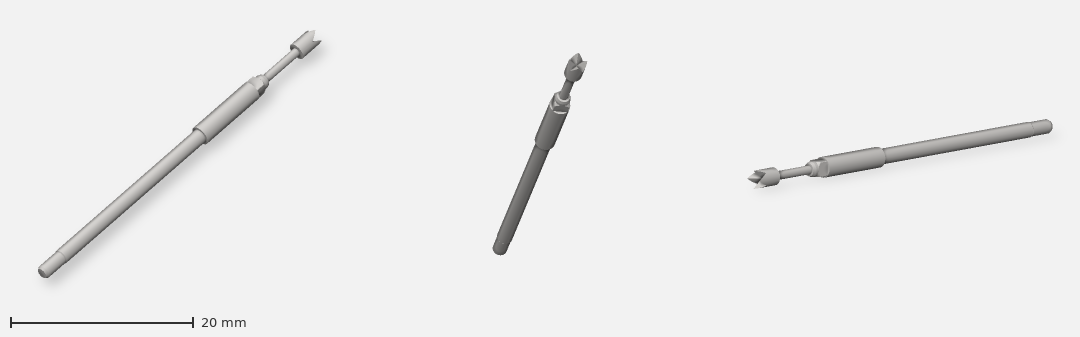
import cadquery as cq
import math

total_length = 44.3

tail_length = 2.95
body_start = 25.6
body_end = 34.0
collar_start = 35.3
collar_end = 36.0
crown_start = 41.25

tail_diameter = 1.6
tube_diameter = 1.73
body_diameter = 2.3
collar_diameter = 1.73
plunger_diameter = 0.97
crown_diameter = 2.0

tail_chamfer_length = 0.3
tail_chamfer_depth = 0.18
tube_chamfer = 0.15
collar_chamfer_length = 0.35
collar_chamfer_depth = 0.15
square_lead_in = 0.25

square_across_flats = 1.7

groove_angle = 60.0
first_groove_direction = 45.0
groove_directions = (first_groove_direction, first_groove_direction + 90)


def rod(diameter, start, end):
    """Round bar along Y between two stations."""
    plane = cq.Workplane("XZ", origin=(0, start, 0))
    return plane.circle(diameter / 2).extrude(start - end)


def cone(diameter, start, length, depth):
    """Frustum along Y from `start` that loses `depth` of radius over `length` (negative: towards -Y)."""
    plane = cq.Workplane("XZ", origin=(0, start, 0))
    wide_end = plane.circle(diameter / 2)
    return wide_end.workplane(offset=-length).circle(diameter / 2 - depth).loft(ruled=True)


def make_tail():
    """Thin tail bar that narrows in a cone to its flat end."""
    bar = rod(tail_diameter, tail_chamfer_length, tail_length)
    return bar.union(cone(tail_diameter, tail_chamfer_length, -tail_chamfer_length, tail_chamfer_depth))


def make_collar():
    """Collar that narrows in a cone towards the plunger."""
    cone_start = collar_end - collar_chamfer_length
    bar = rod(collar_diameter, collar_start, cone_start)
    return bar.union(cone(collar_diameter, cone_start, collar_chamfer_length, collar_chamfer_depth))


def make_square_neck():
    """Body-sized bar with a coned +Y edge and four milled flats."""
    blank = rod(body_diameter, body_end, collar_start).faces(">Y").chamfer(square_lead_in)
    square = (
        cq.Workplane("XZ", origin=(0, body_end, 0))
        .rect(square_across_flats, square_across_flats)
        .extrude(body_end - collar_start)
    )
    return blank.intersect(square)


def make_crown():
    """Round head with two crossing V grooves that leave four pointed teeth."""
    crown = rod(crown_diameter, crown_start, total_length)
    half_angle_tangent = math.tan(math.radians(groove_angle / 2))
    groove_half_width = crown_diameter / 2 * math.sin(math.radians(first_groove_direction))
    groove_depth = groove_half_width / half_angle_tangent
    groove = (
        cq.Workplane("XY")
        .moveTo(0, total_length - groove_depth)
        .lineTo(groove_half_width, total_length)
        .lineTo(-groove_half_width, total_length)
        .close()
        .extrude(crown_diameter, both=True)
    )
    for direction in groove_directions:
        crown = crown.cut(groove.rotate((0, 0, 0), (0, 1, 0), direction))
    return crown


tube = rod(tube_diameter, tail_length, body_start).faces("<Y").chamfer(tube_chamfer)
body = rod(body_diameter, body_start, body_end)
plunger = rod(plunger_diameter, collar_end, crown_start)

result = (
    make_tail()
    .union(tube)
    .union(body)
    .union(make_square_neck())
    .union(make_collar())
    .union(plunger)
    .union(make_crown())
)